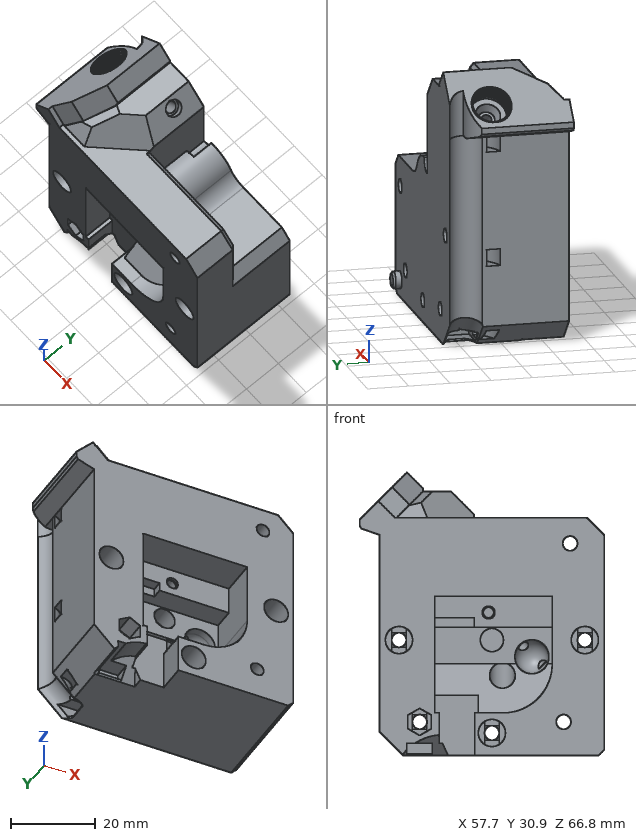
import cadquery as cq
import math


width = 53.0
height = 56.05
depth = 28.95
plate_depth = 12.0
plate_bevel = 1.0
top_right_chamfer = 4.1
bottom_right_chamfer = 1.4
bottom_left_chamfer = 5.6
column_right = 22.3

pivot_x, pivot_z = 25.7, 33.7
hump_radius = 7.1
hump_fillet = 4.95
recess_floor_left = 36.3
rear_chamfer = 2.9

fitting_left = -4.7
fitting_foot = 52.0
fitting_low = 55.6
fitting_top = 66.75
fitting_lean = fitting_top - fitting_low
fitting_inner_x = 4.1
shoulder_x = 10.3
shoulder_z = height + shoulder_x - fitting_inner_x
shoulder_right = 16.8

path_y = 18.9
path_x = -0.3
path_z = path_x + fitting_low - fitting_left
path_diameter = 2.5
path_length = 54.7

motor_x, motor_z = 26.5, 27.2
motor_screw_circle = 21.9
screw_diameter = 3.4
screw_head_diameter = 6.4
screw_head_depth = 13.35
bridge_step = 0.3

pocket_left = 13.1
pocket_right = 40.7
pocket_bottom = 10.1
pocket_top = 37.5
pocket_radius = 11.55
pocket_depth = 14.8
ledge_z = 30.3
ledge_depth = 9.35
slope_offset = 6.8
channel_left = 14.1
channel_right = 22.4
channel_depth = 7.5
channel_head_right = 23.2

groove_x, groove_y = -1.6, 25.1
groove_radius = 4.3
groove_top = fitting_foot

through = 133.5


def prism(points, y_start, y_end):
    """Extrude an outline of (X, Z) points from y_start to y_end."""
    plane = cq.Workplane("XZ", origin=(0, y_start, 0))
    return plane.polyline(points).close().extrude(y_start - y_end)


def box(x, y, z):
    """Box between the (low, high) limits along each axis."""
    size = (x[1] - x[0], y[1] - y[0], z[1] - z[0])
    return cq.Workplane("XY").box(*size, centered=False).translate((x[0], y[0], z[0]))


def rod(start, direction, diameter, length):
    return cq.Workplane(cq.Solid.makeCylinder(diameter / 2, length, cq.Vector(*start), cq.Vector(*direction)))


def half_space(point, normal):
    """Large block filling the side of a plane that its normal points to."""
    plane = cq.Plane(origin=point, normal=normal)
    return cq.Workplane(plane).rect(through, through).extrude(through)


def front_plate():
    outline = [
        (0, bottom_left_chamfer),
        (bottom_left_chamfer, 0),
        (width - bottom_right_chamfer, 0),
        (width, bottom_right_chamfer),
        (width, height - top_right_chamfer),
        (width - top_right_chamfer, height),
        (0, height),
    ]
    flat_depth = plate_depth - plate_bevel
    plate = prism(outline, 0, flat_depth)
    bevel_plane = cq.Workplane("XZ", origin=(0, flat_depth, 0))
    bevel = bevel_plane.polyline(outline).close().extrude(-plate_bevel, taper=45)
    return plate.union(bevel)


def left_column():
    outline = [
        (0, bottom_left_chamfer),
        (bottom_left_chamfer, 0),
        (column_right, 0),
        (column_right, height),
        (0, height),
    ]
    return prism(outline, 0, depth)


def rear_block():
    reach = hump_radius + hump_fillet
    angle = math.asin((recess_floor_left - pivot_x) / reach)
    fillet_z = pivot_z + reach * math.cos(angle)
    floor_z = fillet_z - hump_fillet

    def on_hump(a):
        return (pivot_x + hump_radius * math.sin(a), pivot_z + hump_radius * math.cos(a))

    def on_fillet(a):
        return (recess_floor_left - hump_fillet * math.sin(a), fillet_z - hump_fillet * math.cos(a))

    hump_start = -math.asin((pivot_x - column_right) / hump_radius)
    return (
        cq.Workplane("XZ")
        .moveTo(bottom_left_chamfer, 0)
        .lineTo(width - bottom_right_chamfer, 0)
        .lineTo(width, bottom_right_chamfer)
        .lineTo(width, floor_z - rear_chamfer)
        .lineTo(width - rear_chamfer, floor_z)
        .lineTo(recess_floor_left, floor_z)
        .threePointArc(on_fillet(angle / 2), on_hump(angle))
        .threePointArc(on_hump((angle + hump_start) / 2), on_hump(hump_start))
        .lineTo(bottom_left_chamfer, on_hump(hump_start)[1])
        .close()
        .extrude(-depth)
    )


def fitting_slab():
    """Leaning slab that carries the threaded port, tapered towards the front."""
    peak_x = fitting_left + fitting_lean
    outline = [
        (0, fitting_foot),
        (-4.3, 53.45),
        (fitting_left, 54.1),
        (fitting_left, fitting_low),
        (peak_x, fitting_top),
        (shoulder_x, fitting_top - shoulder_x + peak_x),
        (shoulder_x, shoulder_z),
        (fitting_inner_x, height),
        (fitting_inner_x, fitting_foot),
    ]
    slab = prism(outline, 0, depth)

    slope_length = fitting_lean * math.sqrt(2)
    beyond = 20.0
    front_steps = [(-0.7, 6.2), (1.3, 6.2), (4.5, 10.8), (12.5, slope_length), (12.5, beyond), (-0.7, beyond)]
    slope_plane = cq.Plane(origin=(fitting_left, 0, fitting_low), xDir=(0, 1, 0), normal=(1, 0, -1))
    front_cut = cq.Workplane(slope_plane).polyline(front_steps).close().extrude(beyond, both=True)
    return slab.cut(front_cut)


def fitting_shoulder():
    """Block between the slab and the top of the body, faceted at the front."""
    outline = [
        (fitting_inner_x, height),
        (shoulder_x, shoulder_z),
        (shoulder_right, shoulder_z),
        (column_right, shoulder_z - column_right + shoulder_right),
        (column_right, height),
    ]
    shoulder = prism(outline, 0, depth)
    facets = [
        ((4.1, 1.2, height), (0, -1, 1)),
        ((11.3, 1.2, height), (1, -1, math.sqrt(2))),
        ((7.15, 4.55, 59.1), (-0.14, -0.33, 0.94)),
    ]
    for point, normal in facets:
        shoulder = shoulder.cut(half_space(point, normal))
    return shoulder


def filament_path():
    """Threaded port, funnel and narrow bore along the filament axis."""
    thread_major = 9.6
    thread_minor = 8.95
    thread_depth = 5.2
    thread_pitch = 1.0
    funnel_depth = 2.0
    funnel_diameters = (6.0, 4.0)
    axis = (math.sqrt(0.5), 0, -math.sqrt(0.5))

    def along(distance):
        return (path_x + distance * axis[0], path_y, path_z + distance * axis[2])

    path = rod(along(-0.7), axis, thread_minor, thread_depth + 0.7)
    for turn in range(5):
        groove = rod(along((turn - 0.2) * thread_pitch), axis, thread_major, thread_pitch / 2)
        path = path.union(groove)
    funnel = cq.Solid.makeCone(
        funnel_diameters[0] / 2,
        funnel_diameters[1] / 2,
        funnel_depth,
        cq.Vector(*along(thread_depth)),
        cq.Vector(*axis),
    )
    return path.union(cq.Workplane(funnel)).union(rod(along(0), axis, path_diameter, path_length))


def tension_screw_hole():
    """Hole square to the sloping right face of the shoulder."""
    x = 19.0
    start = (x + 0.7, 22.35, shoulder_z - x + shoulder_right + 0.7)
    direction = (-1, 0, -1)
    return rod(start, direction, 4.2, 2.7).union(rod(start, direction, 3.0, 14.7))


def front_pocket():
    arc_x = pocket_right - pocket_radius
    arc_z = pocket_bottom + pocket_radius
    diagonal = pocket_radius * math.sqrt(0.5)
    lower = (
        cq.Workplane("XZ")
        .moveTo(pocket_left, pocket_bottom)
        .lineTo(arc_x, pocket_bottom)
        .threePointArc((arc_x + diagonal, arc_z - diagonal), (pocket_right, arc_z))
        .lineTo(pocket_right, ledge_z)
        .lineTo(pocket_left, ledge_z)
        .close()
        .extrude(-pocket_depth)
        .cut(half_space((0, 0, slope_offset), (0, 1, -1)))
    )
    upper = box((pocket_left, pocket_right), (0, ledge_depth), (ledge_z, pocket_top))
    corner_top = 32.5
    corner = box((pocket_left, column_right), (0, plate_depth), (ledge_z, corner_top))
    return lower.union(upper).union(corner)


def cable_channel():
    channel = box((channel_left, channel_right), (0, channel_depth), (-0.7, pocket_bottom))
    head_top = slope_offset + channel_depth
    head = box((pocket_left, channel_head_right), (0, channel_depth), (pocket_bottom, head_top))
    return channel.union(head)


def pocket_holes():
    pivot_screw = rod((pivot_x, 0, pivot_z), (0, 1, 0), 2.5, 16).union(
        rod((pivot_x, 0, pivot_z), (0, 1, 0), 3.0, ledge_depth + 0.7)
    )
    shaft = rod((motor_x, 0, motor_z), (0, 1, 0), 5.5, 20)

    hotend_x = 28.95
    hotend_y = 12.1
    hotend = rod((hotend_x, hotend_y, pocket_bottom), (0, 0, 1), 6.0, pocket_radius)

    ball_x, ball_y, ball_z = 35.9, 16.8, 23.3
    ball_diameter = 8.0
    ball = cq.Workplane("XY").sphere(ball_diameter / 2).translate((ball_x, ball_y, ball_z))
    ball_bore = rod((ball_x, 0, ball_z), (0, 1, 0), ball_diameter, ball_y).union(ball)
    return pivot_screw.union(shaft).union(hotend).union(ball_bore)


def round_hole(x, z):
    return rod((x, -0.7, z), (0, 1, 0), screw_diameter, depth + 1.35)


def bridged_hole(x, z, head):
    """Through hole under a head recess, with two square-sided steps between them."""
    head_depth = head.val().BoundingBox().ymax
    half = screw_diameter / 2
    sides = (x - half, x + half)
    slot_end = head_depth + bridge_step
    tall_slot = box(sides, (0, slot_end), (z - through, z + through))
    slot = head.translate((0, bridge_step, 0)).intersect(tall_slot)
    square = box(sides, (head_depth, slot_end + bridge_step), (z - half, z + half))
    return round_hole(x, z).union(head).union(slot).union(square)


def screw_holes():
    holes = round_hole(44.9, 50.0).union(round_hole(43.4, 7.95))
    for dx, dz in [(-1, 0), (1, 0), (0, -1)]:
        x = motor_x + dx * motor_screw_circle
        z = motor_z + dz * motor_screw_circle
        head = rod((x, 0, z), (0, 1, 0), screw_head_diameter, screw_head_depth)
        holes = holes.union(bridged_hole(x, z, head))

    nut_x, nut_z = 9.5, 7.95
    nut_width = 5.55
    nut_depth = 5.35
    nut = (
        cq.Workplane("XZ", origin=(nut_x, 0, nut_z))
        .transformed(rotate=(0, 0, 90))
        .polygon(6, nut_width / math.cos(math.pi / 6))
        .extrude(-nut_depth)
    )
    return holes.union(bridged_hole(nut_x, nut_z, nut))


def cable_groove():
    bend = (groove_x, groove_y, bottom_left_chamfer)
    groove = rod(bend, (0, 0, 1), 2 * groove_radius, groove_top - bottom_left_chamfer)
    groove = groove.rotate(bend, (groove_x, groove_y, groove_top), 180)
    foot = rod(bend, (1, 0, -1), 2 * groove_radius, 2 * bottom_left_chamfer)
    end_pocket = box((0, 12.5), (groove_y - groove_radius + 0.4, 28.2), (0.4, 3.1))
    reach = groove_x + groove_radius
    rear = depth + 0.7
    ear_relief = (
        cq.Workplane("XY", origin=(0, 0, groove_top))
        .moveTo(reach, groove_y)
        .threePointArc((-1.8, 24.3), (fitting_left - 0.1, 22.3))
        .lineTo(fitting_left - 0.1, rear)
        .lineTo(-0.6, rear)
        .lineTo(0.15, depth)
        .threePointArc((1.8, 27.6), (reach, groove_y))
        .close()
        .extrude(fitting_top - groove_top)
    )
    return groove.union(foot).union(end_pocket).union(ear_relief)


def tie_slots():
    """Curved cable-tie slots around the groove; the lowest follows its slanted foot."""
    slots = None
    foot_shift = 2.95
    outer_radius = 8.5
    inner_radius = 5.35
    for low, high, shift in [(1.3, 4.15, foot_shift), (20.35, 24.4, 0), (48.3, fitting_foot, 0)]:
        ring = (
            cq.Workplane("XY", origin=(groove_x + shift, groove_y, low))
            .circle(outer_radius)
            .circle(inner_radius)
            .extrude(high - low)
            .intersect(box((-0.7, through), (0, groove_y), (0, height)))
        )
        slots = ring if slots is None else slots.union(ring)
    return slots


def duct_relief():
    """Arched notch under the front edge, closed by a 45 degree slope."""
    relief_depth = 10.4
    notch = (
        cq.Workplane("XZ")
        .moveTo(4.7, -0.7)
        .lineTo(bottom_left_chamfer, 0.4)
        .threePointArc((9.1, 3.35), (13.9, 4.9))
        .lineTo(16.2, 0)
        .lineTo(16.2, -0.7)
        .close()
        .extrude(-relief_depth)
        .cut(half_space((0, relief_depth, 0), (0, 1, 1)))
    )
    window = box((6.4, 12.5), (0, relief_depth + 1.35), (0.4, 2.95))
    return notch.union(window)


def hinge_slot():
    """Round-bottomed notch in the hump beside the column."""
    radius = 2.6
    start_y = 23.5
    center_z = 40.2
    notch = rod((column_right, start_y, center_z), (0, 1, 0), 2 * radius, depth - start_y)
    sides = (column_right, column_right + radius)
    notch = notch.intersect(box(sides, (0, depth), (0, height)))
    return notch.union(box(sides, (start_y, depth), (center_z, height)))


def locating_pin():
    pin_diameter = 4.2
    pin_length = 2.0
    pin_edge = 0.55
    start = (48.7, depth - 0.7, 4.2)
    return rod(start, (0, 1, 0), pin_diameter, pin_length + 0.7).faces(">Y").chamfer(pin_edge)


solids = [left_column(), rear_block(), fitting_slab(), fitting_shoulder()]
cutters = [
    filament_path(),
    tension_screw_hole(),
    front_pocket(),
    cable_channel(),
    pocket_holes(),
    screw_holes(),
    cable_groove(),
    tie_slots(),
    duct_relief(),
    hinge_slot(),
]

result = front_plate()
for solid in solids:
    result = result.union(solid)
for cutter in cutters:
    result = result.cut(cutter)
result = result.union(locating_pin())